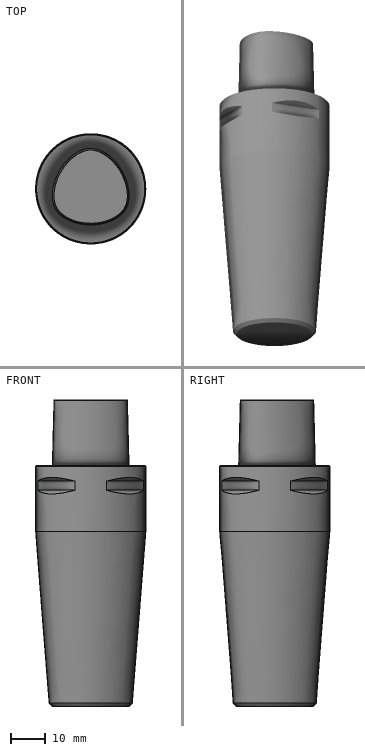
import cadquery as cq
import math


flange_diameter = 32.0
flange_radius = flange_diameter / 2
flange_height = 19.2
flange_edge_chamfer = 0.3

shank_length = 19.0
shank_taper = 1 / 20
shank_base_width = 22.25
shank_top_width = shank_base_width - shank_length * shank_taper
lobe_height = 0.65
lobe_count = 3
lobe_direction = math.pi / 2
outline_steps = 72

groove_count = 4
groove_first_angle = 45.0
groove_depth = 1.9
groove_floor_height = 2.6
groove_wall_slope = 30.0
groove_center_z = -5.85
groove_overcut = 1.0

nose_bottom_z = -70.0
nose_chamfer = 1.0
nose_end_diameter = 24.15


def shank_outline(z, width):
    """Closed constant-width outline with three lobes, in the plane at height z."""

    def point(t):
        angle = 2 * math.pi * t
        lobe_phase = lobe_count * (angle - lobe_direction)
        reach = width / 2 + lobe_height * math.cos(lobe_phase)
        reach_slope = -lobe_count * lobe_height * math.sin(lobe_phase)
        x = reach * math.cos(angle) - reach_slope * math.sin(angle)
        y = reach * math.sin(angle) + reach_slope * math.cos(angle)
        return (x, y, 0)

    outline = cq.Workplane("XY").workplane(offset=z).parametricCurve(point, N=outline_steps)
    return cq.Wire.assembleEdges(outline.vals()[0].Edges())


def make_shank():
    base = shank_outline(0, shank_base_width)
    top = shank_outline(shank_length, shank_top_width)
    return cq.Workplane(obj=cq.Solid.makeLoft([base, top], True))


def make_groove_cutter(angle):
    """Trapezoidal bar lying across the flange, its floor facing outward at the given angle."""
    floor_distance = flange_radius - groove_depth
    outer_distance = flange_radius + groove_overcut
    wall_rise = (outer_distance - floor_distance) * math.tan(math.radians(groove_wall_slope))
    floor_half = groove_floor_height / 2
    outer_half = floor_half + wall_rise
    return (
        cq.Workplane("XZ")
        .moveTo(floor_distance, groove_center_z - floor_half)
        .lineTo(outer_distance, groove_center_z - outer_half)
        .lineTo(outer_distance, groove_center_z + outer_half)
        .lineTo(floor_distance, groove_center_z + floor_half)
        .close()
        .extrude(flange_radius, both=True)
        .rotate((0, 0, 0), (0, 0, 1), angle)
    )


def make_coupling():
    flange = (
        cq.Workplane("XY")
        .circle(flange_radius)
        .extrude(-flange_height)
        .faces(">Z")
        .chamfer(flange_edge_chamfer)
    )
    for index in range(groove_count):
        angle = groove_first_angle + index * 360 / groove_count
        flange = flange.cut(make_groove_cutter(angle))
    return flange.union(make_shank())


def make_nose():
    """Cone narrowing from the flange diameter down to a chamfered flat end."""
    end_radius = nose_end_diameter / 2
    return (
        cq.Workplane("XZ")
        .moveTo(0, -flange_height)
        .lineTo(flange_radius, -flange_height)
        .lineTo(end_radius, nose_bottom_z + nose_chamfer)
        .lineTo(end_radius - nose_chamfer, nose_bottom_z)
        .lineTo(0, nose_bottom_z)
        .close()
        .revolve(360, (0, 0, 0), (0, 1, 0))
    )


coupling = make_coupling()
nose = make_nose()

result = cq.Compound.makeCompound([coupling.val(), nose.val()])